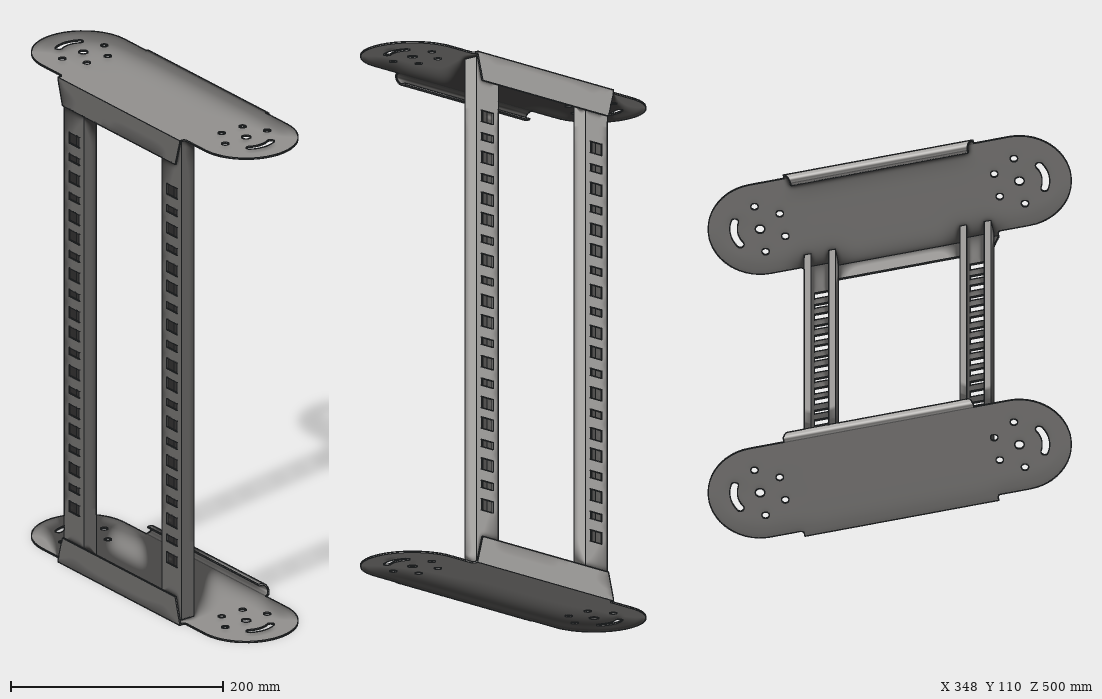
import cadquery as cq
import math

frame_height = 500.0
sheet = 1.5

plate_length = 348.0
plate_depth = 98.0
end_radius = plate_depth / 2
pivot_x = plate_length / 2 - end_radius

flange_reach = 6.0
flange_front = plate_depth / 2 + flange_reach
flange_height = 27.0
flange_width = 187.0
flange_tip_width = 173.0
flange_root_radius = 3.0

hook_radius = 6.0
hook_lip = 3.0
hook_width = 183.0
hook_tip_width = 170.0

pivot_diameter = 9.0
bolt_diameter = 7.0
bolt_circle_radius = 25.0
bolt_angles = (90, 30, -30, -90)
slot_width = 7.0
slot_half_angle = 30.0

rail_width = 30.0
rail_depth = 15.0
rail_wall = 1.5
rail_lip = 6.5
rail_spacing = 150.0
rail_setback = 5.0
rail_front = -flange_front + rail_setback
rail_end_gap = 1.5
rail_height = frame_height - 2 * (sheet + rail_end_gap)

window_width = 16.0
window_pitch = 20.0
window_group = (11.0, 7.0, 11.0, 7.0, 11.0)
window_groups = 4


def polar(radius, angle):
    return (radius * math.cos(math.radians(angle)), radius * math.sin(math.radians(angle)))


def yz_plane(half_width):
    """YZ sketch plane at X = -half_width, extruding toward +X."""
    return cq.Workplane("YZ", origin=(-half_width, 0, 0))


def tapered_outline(root_width, tip_width, height):
    """Block, straight for one sheet thickness and then narrowing, that trims a folded tab."""
    outline = [
        (-root_width / 2, 0),
        (root_width / 2, 0),
        (root_width / 2, -sheet),
        (tip_width / 2, -height),
        (-tip_width / 2, -height),
        (-root_width / 2, -sheet),
    ]
    return cq.Workplane("XZ").polyline(outline).close().extrude(plate_depth, both=True)


def front_flange():
    """Tab that leaves the plate at the front and folds down."""
    section = (
        yz_plane(flange_width / 2)
        .moveTo(0, 0)
        .lineTo(-flange_front, 0)
        .lineTo(-flange_front, -flange_height)
        .lineTo(-flange_front + sheet, -flange_height)
        .lineTo(-flange_front + sheet, -sheet)
        .lineTo(0, -sheet)
        .close()
    )
    return section.extrude(flange_width).intersect(
        tapered_outline(flange_width, flange_tip_width, flange_height)
    )


def flange_root_corners():
    """Selector for the two upright inner corners where the flange leaves the plate edge."""
    margin = sheet / 2
    corner_y = -plate_depth / 2
    low = (-flange_width / 2 - margin, corner_y - margin, -sheet - margin)
    high = (flange_width / 2 + margin, corner_y + margin, margin)
    return cq.selectors.BoxSelector(low, high)


def rear_hook():
    """Tab that curls down and under at the rear, ending in a short flat lip."""
    bend_y = plate_depth / 2
    hook_inner = hook_radius - sheet
    lip_y = bend_y - hook_lip
    section = (
        yz_plane(hook_width / 2)
        .moveTo(0, 0)
        .lineTo(bend_y, 0)
        .threePointArc((bend_y + hook_radius, -hook_radius), (bend_y, -2 * hook_radius))
        .lineTo(lip_y, -2 * hook_radius)
        .lineTo(lip_y, -2 * hook_radius + sheet)
        .lineTo(bend_y, -2 * hook_radius + sheet)
        .threePointArc((bend_y + hook_inner, -hook_radius), (bend_y, -sheet))
        .lineTo(0, -sheet)
        .close()
    )
    return section.extrude(hook_width).intersect(
        tapered_outline(hook_width, hook_tip_width, 2 * hook_radius)
    )


def arc_slot():
    """Curved slot on the bolt circle, centred on the +X side of the pivot."""
    inner = bolt_circle_radius - slot_width / 2
    outer = bolt_circle_radius + slot_width / 2
    cap = slot_width / 2
    return (
        cq.Workplane("XY")
        .moveTo(*polar(outer, -slot_half_angle))
        .threePointArc((outer, 0), polar(outer, slot_half_angle))
        .radiusArc(polar(inner, slot_half_angle), -cap)
        .threePointArc((inner, 0), polar(inner, -slot_half_angle))
        .radiusArc(polar(outer, -slot_half_angle), -cap)
        .close()
        .extrude(-sheet)
    )


def pivot_holes():
    """Cutters for the hole pattern at the +X end of the plate."""
    bolts = [polar(-bolt_circle_radius, angle) for angle in bolt_angles]
    cutters = cq.Workplane("XY").circle(pivot_diameter / 2).extrude(-sheet)
    cutters = cutters.add(cq.Workplane("XY").pushPoints(bolts).circle(bolt_diameter / 2).extrude(-sheet))
    return cutters.add(arc_slot()).combine().translate((pivot_x, 0, 0))


def end_plate():
    """Upper end plate with its top face at Z = 0."""
    plate = cq.Workplane("XY").slot2D(plate_length, plate_depth).extrude(-sheet)
    plate = plate.union(front_flange())
    plate = plate.edges("|Z").edges(flange_root_corners()).fillet(flange_root_radius)
    plate = plate.union(rear_hook())
    holes = pivot_holes()
    return plate.cut(holes).cut(holes.mirror("YZ"))


def rail_windows():
    """Cutters for the windows in the front wall of a rail centred on X = 0."""
    heights = window_group * window_groups
    lowest = -window_pitch * (len(heights) - 1) / 2
    cutters = cq.Workplane("XY")
    for index, height in enumerate(heights):
        z = lowest + index * window_pitch
        cutters = cutters.add(
            cq.Workplane("XY").box(window_width, rail_wall, height).translate((0, rail_wall / 2, z))
        )
    return cutters.combine()


def rail():
    """Channel centred on X = 0 and Z = 0 with its front face at Y = 0."""
    centred = (True, False, True)
    outside = cq.Workplane("XY").box(rail_width, rail_depth, rail_height, centered=centred)
    cavity = (
        cq.Workplane("XY")
        .box(rail_width - 2 * rail_wall, rail_depth - 2 * rail_wall, rail_height, centered=centred)
        .translate((0, rail_wall, 0))
    )
    mouth = (
        cq.Workplane("XY")
        .box(rail_width - 2 * rail_lip, rail_wall, rail_height, centered=centred)
        .translate((0, rail_depth - rail_wall, 0))
    )
    return outside.cut(cavity).cut(mouth).cut(rail_windows())


top_plate = end_plate().translate((0, 0, frame_height / 2))
bottom_plate = top_plate.mirror("XY")
rails = [rail().translate((side * rail_spacing / 2, rail_front, 0)) for side in (-1, 1)]

result = cq.Compound.makeCompound([top_plate.val(), bottom_plate.val(), *[body.val() for body in rails]])